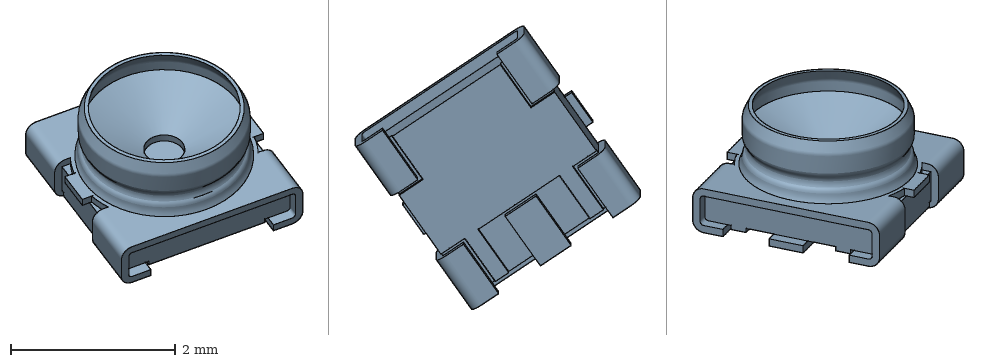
import cadquery as cq
import math

SIZE = 2.5
HALF = SIZE / 2
SHELL_TOP = 0.6
SHEET = 0.1
BEND_RADIUS = 0.15
FOOT_TIP_Y = 0.845
GAP_HALF_X = 0.492
TAB_HALF_X = 0.228
PLATE_ARC_RADIUS = 1.145

HOUSING_HALF_X = 1.11
HOUSING_HALF_Y = HALF - SHEET
HOUSING_TOP = SHELL_TOP - SHEET
PAD_BOTTOM = 0.042
PAD_LONG_BAR_HALF_Y = 0.8
PAD_CROSS_BAR_HALF_X = 0.45
POCKET_HALF_Y = 0.6
CONTACT_HALF_Y = 0.228

COLLAR_TOP = 1.4
RIM_RADIUS = 0.975
COLLAR_RADIUS = 1.05
FOOT_RADIUS = 1.09
WAIST_RADIUS = 0.99
EDGE_RADIUS = 1.04
SHOULDER_RADIUS = 1.012
RIM_BEVEL_BOTTOM = 1.268
BAND_TOP = 1.225
BAND_BOTTOM = 0.99
UPPER_BLEND_Z = 0.918
WAIST_Z = 0.852
LOWER_BLEND_Z = 0.778
FLARE_TOP = 0.715

BLEND_BULGE = 0.008
EDGE_BULGE = 0.002
WAIST_BULGE = 0.005

COLLAR_WALL = 0.05
CONE_TOP = 1.085
CONE_BOTTOM = 0.7
WELL_RADIUS = 0.25
WELL_FLOOR = SHELL_TOP


def block(x_min, x_max, half_y, z_min, z_max):
    """Box between two X and two Z positions, centred on Y."""
    return (
        cq.Workplane("XY", origin=((x_min + x_max) / 2, 0, z_min))
        .rect(x_max - x_min, 2 * half_y)
        .extrude(z_max - z_min)
    )


def disc(radius, z_min, z_max):
    return cq.Workplane("XY", origin=(0, 0, z_min)).circle(radius).extrude(z_max - z_min)


def folded_shell():
    shell = block(-HALF, HALF, HALF, 0, SHELL_TOP).edges("|X").fillet(BEND_RADIUS)
    inside = block(-HALF, HALF, HALF - SHEET, SHEET, SHELL_TOP - SHEET)
    shell = shell.cut(inside.edges("|X").fillet(BEND_RADIUS - SHEET))

    shell = shell.cut(block(-HALF, HALF, FOOT_TIP_Y, 0, SHEET))

    gap = block(-GAP_HALF_X, GAP_HALF_X, HALF, 0, SHELL_TOP)
    shell = shell.cut(gap.cut(disc(PLATE_ARC_RADIUS, HOUSING_TOP, SHELL_TOP)))
    return shell.union(block(-TAB_HALF_X, TAB_HALF_X, HALF, HOUSING_TOP, SHELL_TOP))


def housing():
    body = block(-HOUSING_HALF_X, HOUSING_HALF_X, HOUSING_HALF_Y, SHEET, HOUSING_TOP)
    long_bar = block(-HOUSING_HALF_X, HOUSING_HALF_X, PAD_LONG_BAR_HALF_Y, PAD_BOTTOM, SHEET)
    cross_bar = block(
        -PAD_CROSS_BAR_HALF_X, PAD_CROSS_BAR_HALF_X, HOUSING_HALF_Y, PAD_BOTTOM, SHEET
    )
    pocket = block(-HOUSING_HALF_X, -PAD_CROSS_BAR_HALF_X, POCKET_HALF_Y, PAD_BOTTOM, SHEET)
    return body.union(long_bar).union(cross_bar).cut(pocket)


def contact():
    """Flat lead in the pocket, ending in line with the shell feet."""
    return block(-HALF, -GAP_HALF_X, CONTACT_HALF_Y, 0, SHEET)


def arc_middle(start, end, bulge):
    """Middle of a shallow arc, moved out from its chord by bulge."""
    return ((start[0] + end[0]) / 2 + bulge, (start[1] + end[1]) / 2)


def collar():
    """Revolved collar: flared foot, waist, straight band and bevelled rim."""
    foot = (FOOT_RADIUS, SHELL_TOP)
    flare_top = (COLLAR_RADIUS, FLARE_TOP)
    lower_blend = (SHOULDER_RADIUS, LOWER_BLEND_Z)
    waist = (WAIST_RADIUS, WAIST_Z)
    upper_blend = (SHOULDER_RADIUS, UPPER_BLEND_Z)
    band_bottom = (COLLAR_RADIUS, BAND_BOTTOM)
    band_top = (COLLAR_RADIUS, BAND_TOP)
    bevel_bottom = (EDGE_RADIUS, RIM_BEVEL_BOTTOM)
    profile = (
        cq.Workplane("XZ")
        .moveTo(0, HOUSING_TOP)
        .lineTo(FOOT_RADIUS, HOUSING_TOP)
        .lineTo(*foot)
        .threePointArc(arc_middle(foot, flare_top, -BLEND_BULGE), flare_top)
        .threePointArc(arc_middle(flare_top, lower_blend, BLEND_BULGE), lower_blend)
        .threePointArc(arc_middle(lower_blend, waist, -WAIST_BULGE), waist)
        .threePointArc(arc_middle(waist, upper_blend, -WAIST_BULGE), upper_blend)
        .threePointArc(arc_middle(upper_blend, band_bottom, BLEND_BULGE), band_bottom)
        .lineTo(*band_top)
        .threePointArc(arc_middle(band_top, bevel_bottom, EDGE_BULGE), bevel_bottom)
        .lineTo(RIM_RADIUS, COLLAR_TOP)
        .lineTo(0, COLLAR_TOP)
        .close()
    )
    return profile.revolve(360, (0, 0, 0), (0, 1, 0))


def bowl():
    """Hollow of the collar: undercut rim, straight wall, cone and a flat-bottomed well."""
    bevel_angle = math.atan2(EDGE_RADIUS - RIM_RADIUS, COLLAR_TOP - RIM_BEVEL_BOTTOM)
    wall_radius = COLLAR_RADIUS - COLLAR_WALL
    corner_drop = COLLAR_WALL * math.tan(bevel_angle / 2)
    wall_top = (wall_radius, BAND_TOP - corner_drop)
    bevel_bottom = (EDGE_RADIUS - COLLAR_WALL, RIM_BEVEL_BOTTOM - corner_drop)
    profile = (
        cq.Workplane("XZ")
        .moveTo(0, WELL_FLOOR)
        .lineTo(WELL_RADIUS, WELL_FLOOR)
        .lineTo(WELL_RADIUS, CONE_BOTTOM)
        .lineTo(wall_radius, CONE_TOP)
        .lineTo(*wall_top)
        .threePointArc(arc_middle(wall_top, bevel_bottom, EDGE_BULGE), bevel_bottom)
        .lineTo(RIM_RADIUS - COLLAR_WALL, COLLAR_TOP)
        .lineTo(0, COLLAR_TOP)
        .close()
    )
    return profile.revolve(360, (0, 0, 0), (0, 1, 0))


result = folded_shell().union(housing()).union(contact()).union(collar()).cut(bowl())